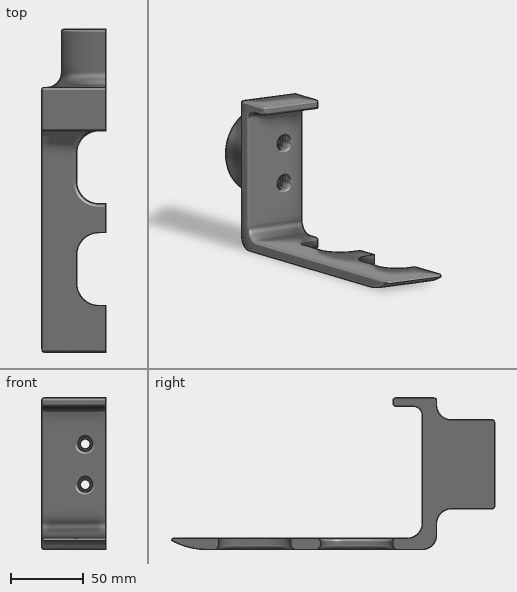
import cadquery as cq
import math

WIDTH = 44.2
HEIGHT = 104.5
TOTAL_LENGTH = 222.2
EDGE_FILLET = 2.0

ARC_MIDDLE_INSET = 1 - math.sqrt(0.5)

PICK_MARGIN = 0.2

WALL_THICKNESS = 10.0
LIP_LENGTH = 30.0
LIP_THICKNESS = 6.0
LIP_BEND_RADIUS = 6.0
ARM_THICKNESS = 8.0
ARM_BEND_RADIUS = 10.0

BOSS_RADIUS = 30.7
BOSS_LENGTH = 40.0
BOSS_ROOT_FILLET = 10.0
BOSS_END_FILLET = EDGE_FILLET
BOSS_OVERLAP = 2.2
BOSS_CENTRE_Z = 58.7

ARM_LENGTH = TOTAL_LENGTH - BOSS_LENGTH
TIP_ARC_RADIUS = 50.0
TIP_THICKNESS = 1.67

CUTOUT_LENGTH = 50.0
CUTOUT_DEPTH = 20.0
CUTOUT_CORNER_RADIUS = 15.0
CUTOUT_GAP = 20.0
UPPER_RIM_FILLET = 2.5
LOWER_RIM_FILLET = 3.0

HOLE_DIAMETER = 6.7
COUNTERBORE_DIAMETER = 10.2
COUNTERBORE_DEPTH = WALL_THICKNESS
HOLE_OFFSET_X = 14.2
HOLE_SPACING = 28.0


def edge_along_x(y, z):
    """Selector for the edge that runs along X through the given outline corner."""
    return cq.selectors.NearestToPointSelector((-WIDTH / 2, y, z))


def make_bracket():
    """Wall, lip and full-thickness arm, rounded on the -X side and at the free ends."""
    lip_underside = HEIGHT - LIP_THICKNESS
    bracket = (
        cq.Workplane("YZ")
        .polyline([
            (0, 0),
            (0, HEIGHT),
            (-LIP_LENGTH, HEIGHT),
            (-LIP_LENGTH, lip_underside),
            (-WALL_THICKNESS, lip_underside),
            (-WALL_THICKNESS, ARM_THICKNESS),
            (-ARM_LENGTH, ARM_THICKNESS),
            (-ARM_LENGTH, 0),
        ])
        .close()
        .extrude(-WIDTH)
    )
    bends = [
        (0, 0, ARM_BEND_RADIUS),
        (-WALL_THICKNESS, ARM_THICKNESS, ARM_BEND_RADIUS),
        (-WALL_THICKNESS, lip_underside, LIP_BEND_RADIUS),
    ]
    for y, z, radius in bends:
        bracket = bracket.edges(edge_along_x(y, z)).fillet(radius)

    sharp_corners = [
        (0, HEIGHT),
        (-LIP_LENGTH, HEIGHT),
        (-LIP_LENGTH, lip_underside),
        (-ARM_LENGTH, ARM_THICKNESS),
    ]
    rounded_edges = bracket.faces("<X").edges()
    for y, z in sharp_corners:
        rounded_edges = rounded_edges.add(bracket.edges(edge_along_x(y, z)))
    return rounded_edges.fillet(EDGE_FILLET)


def make_tip_envelope():
    """Block that keeps everything above the arc under the arm tip, its lower side edge rounded."""
    tip_rise = ARM_THICKNESS - TIP_THICKNESS
    sweep = math.acos(1 - tip_rise / TIP_ARC_RADIUS)
    arc_start_y = -ARM_LENGTH + TIP_ARC_RADIUS * math.sin(sweep)
    arc_middle = (
        arc_start_y - TIP_ARC_RADIUS * math.sin(sweep / 2),
        TIP_ARC_RADIUS * (1 - math.cos(sweep / 2)),
    )
    envelope = (
        cq.Workplane("YZ")
        .moveTo(BOSS_LENGTH, 0)
        .lineTo(arc_start_y, 0)
        .threePointArc(arc_middle, (-ARM_LENGTH, tip_rise))
        .lineTo(-ARM_LENGTH, HEIGHT)
        .lineTo(BOSS_LENGTH, HEIGHT)
        .close()
        .extrude(-WIDTH)
    )
    underside_edges = envelope.faces("<X").edges(cq.selectors.BoxSelector(
        (-WIDTH - PICK_MARGIN, -ARM_LENGTH - PICK_MARGIN, -PICK_MARGIN),
        (-WIDTH + PICK_MARGIN, BOSS_LENGTH + PICK_MARGIN, ARM_THICKNESS),
    ))
    return underside_edges.fillet(EDGE_FILLET)


def make_boss():
    """Half-round boss with a flared root, turned about an axis along Y in the cut plane."""
    root_radius = BOSS_RADIUS + BOSS_ROOT_FILLET
    root_bend = BOSS_ROOT_FILLET * ARC_MIDDLE_INSET
    end_bend = BOSS_END_FILLET * ARC_MIDDLE_INSET
    return (
        cq.Workplane("YZ")
        .moveTo(-BOSS_OVERLAP, 0)
        .lineTo(-BOSS_OVERLAP, root_radius)
        .lineTo(0, root_radius)
        .threePointArc((root_bend, BOSS_RADIUS + root_bend), (BOSS_ROOT_FILLET, BOSS_RADIUS))
        .lineTo(BOSS_LENGTH - BOSS_END_FILLET, BOSS_RADIUS)
        .threePointArc(
            (BOSS_LENGTH - end_bend, BOSS_RADIUS - end_bend),
            (BOSS_LENGTH, BOSS_RADIUS - BOSS_END_FILLET),
        )
        .lineTo(BOSS_LENGTH, 0)
        .close()
        .revolve(180, (0, 0), (-1, 0))
        .translate((0, 0, BOSS_CENTRE_Z))
    )


def make_cutout(back_y):
    """Round-cornered notch cutter through the arm, open on the cut plane."""
    return (
        cq.Workplane("XY")
        .center(0, back_y - CUTOUT_LENGTH / 2)
        .rect(2 * CUTOUT_DEPTH, CUTOUT_LENGTH)
        .extrude(ARM_THICKNESS)
        .edges("|Z")
        .fillet(CUTOUT_CORNER_RADIUS)
    )


def cutout_rim(back_y, z):
    """Selector for the rim of a cutout at height z, without the edges on the cut plane."""
    return cq.selectors.BoxSelector(
        (-CUTOUT_DEPTH - PICK_MARGIN, back_y - CUTOUT_LENGTH - PICK_MARGIN, z - PICK_MARGIN),
        (-PICK_MARGIN, back_y + PICK_MARGIN, z + PICK_MARGIN),
    )


def make_screw_hole(z):
    """Stepped hole cutter along Y, its mouth flared by the rounding of the wall face."""
    bore_radius = COUNTERBORE_DIAMETER / 2
    bend = EDGE_FILLET * ARC_MIDDLE_INSET
    step_y = COUNTERBORE_DEPTH - WALL_THICKNESS
    return (
        cq.Workplane("XY")
        .moveTo(0, -WALL_THICKNESS)
        .lineTo(bore_radius + EDGE_FILLET, -WALL_THICKNESS)
        .threePointArc(
            (bore_radius + bend, -WALL_THICKNESS + bend),
            (bore_radius, -WALL_THICKNESS + EDGE_FILLET),
        )
        .lineTo(bore_radius, step_y)
        .lineTo(HOLE_DIAMETER / 2, step_y)
        .lineTo(HOLE_DIAMETER / 2, BOSS_LENGTH)
        .lineTo(0, BOSS_LENGTH)
        .close()
        .revolve(360, (0, 0), (0, 1))
        .translate((-HOLE_OFFSET_X, 0, z))
    )


hook = make_bracket().intersect(make_tip_envelope())

first_cutout_y = -LIP_LENGTH
second_cutout_y = first_cutout_y - CUTOUT_LENGTH - CUTOUT_GAP
for back_y in (first_cutout_y, second_cutout_y):
    hook = hook.cut(make_cutout(back_y))
    hook = hook.edges(cutout_rim(back_y, 0)).fillet(LOWER_RIM_FILLET)
hook = hook.edges(cutout_rim(first_cutout_y, ARM_THICKNESS)).fillet(UPPER_RIM_FILLET)

result = hook.union(make_boss())
for side in (-1, 1):
    result = result.cut(make_screw_hole(BOSS_CENTRE_Z + side * HOLE_SPACING / 2))